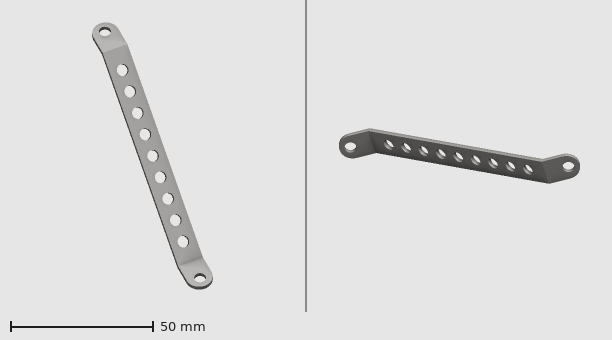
import cadquery as cq
import math

length = 88.0
width = 9.6
thickness = 1.6
slope_run = 64.0
slope_rise = 48.0

end_hole_diameter = 4.2
end_hole_inset = 4.0

web_hole_count = 9
web_hole_diameter = 4.2
web_hole_pitch = 8.0

slope_angle = math.atan2(slope_rise, slope_run)
miter_shift = thickness * math.tan(slope_angle / 2)
half_length = length / 2
half_run = slope_run / 2
half_height = (slope_rise + thickness) / 2


def bent_strip():
    """Constant-thickness strip with a mitred bend at each end of the web."""
    upper_tab_bottom = half_height - thickness
    lower_tab_top = -upper_tab_bottom
    outline = [
        (-half_length, half_height),
        (-half_run + miter_shift, half_height),
        (half_run, lower_tab_top),
        (half_length, lower_tab_top),
        (half_length, -half_height),
        (half_run - miter_shift, -half_height),
        (-half_run, upper_tab_bottom),
        (-half_length, upper_tab_bottom),
    ]
    return cq.Workplane("XZ").polyline(outline).close().extrude(width / 2, both=True)


def rounded_plan():
    """Full-height body whose plan outline has semicircular ends."""
    return (
        cq.Workplane("XY")
        .slot2D(length, width)
        .extrude(half_height, both=True)
    )


def end_holes():
    """Vertical holes through the two tabs."""
    hole_x = half_length - end_hole_inset
    return (
        cq.Workplane("XY")
        .pushPoints([(-hole_x, 0), (hole_x, 0)])
        .circle(end_hole_diameter / 2)
        .extrude(half_height, both=True)
    )


def web_holes():
    """Evenly spaced holes through the web, square to its sloping faces."""
    normal_x = math.sin(slope_angle)
    normal_z = math.cos(slope_angle)
    web_plane = cq.Plane(
        origin=(-thickness * normal_x, 0, -thickness * normal_z),
        xDir=(normal_z, 0, -normal_x),
        normal=(normal_x, 0, normal_z),
    )
    return (
        cq.Workplane(web_plane)
        .rarray(web_hole_pitch, 1, web_hole_count, 1)
        .circle(web_hole_diameter / 2)
        .extrude(2 * thickness)
    )


result = bent_strip().intersect(rounded_plan()).cut(end_holes()).cut(web_holes())